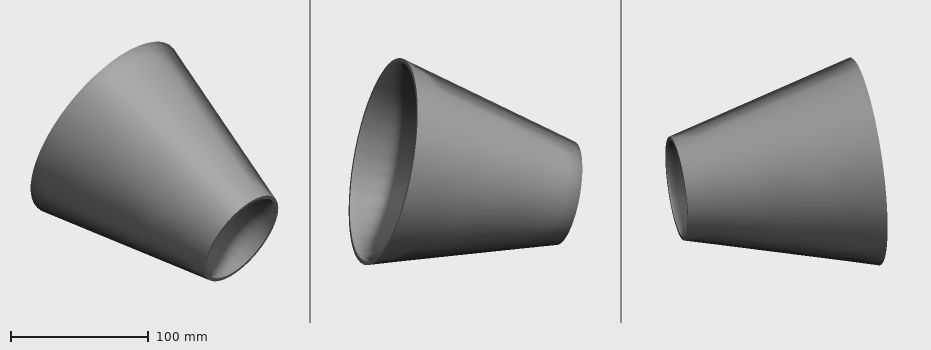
import cadquery as cq

large_diameter = 152.4
small_diameter = large_diameter / 2
length = 139.8
wall = 2.7

large_radius = large_diameter / 2
small_radius = small_diameter / 2

wall_section = [
    (0, large_radius - wall),
    (0, large_radius),
    (length, small_radius),
    (length, small_radius - wall),
]

result = (
    cq.Workplane("XY")
    .polyline(wall_section)
    .close()
    .revolve(360, (0, 0, 0), (1, 0, 0))
)